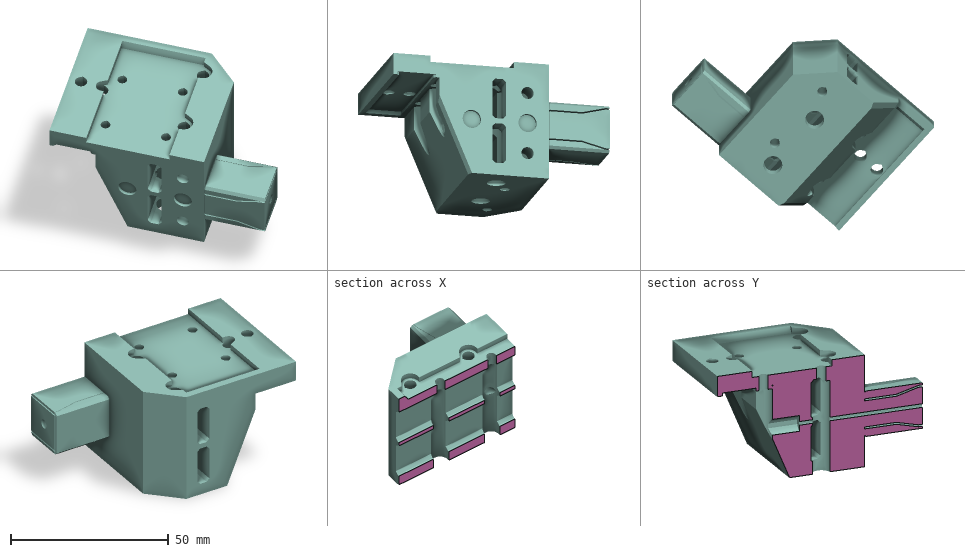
import cadquery as cq
import math

TOTAL_LENGTH = 71.0
DEPTH = 45.5
HEIGHT = 38.0
BLOCK_RIGHT = 51.05
BODY_LEFT = 15.1
SHELF_THICKNESS = 7.0
SHELF_BOTTOM = HEIGHT - SHELF_THICKNESS
SLOPE_TOP = 23.3
SLOPE_BOTTOM_X = 25.0
SLOPE_EDGE_CHAMFER = 1.85
SLOPE_BAR_STRETCH = 1.5
BACK_CORNER_CHAMFER = 10.0

POCKET_LEFT = 12.15
POCKET_RIGHT = 39.6
POCKET_DEPTH = 2.05
POCKET_FLOOR = HEIGHT - POCKET_DEPTH
POCKET_BACK = 43.1
POCKET_BACK_RUN = 1.3

RECESS_LEFT = 1.9
RECESS_RIGHT = 13.3
RECESS_HEIGHT = 1.0
RECESS_MOUTH_FLARE = 0.7

SCREW_RADIUS = 1.55
INSERT_RADIUS = 2.0
HEAD_RADIUS = 3.0
TEARDROP_ANGLE = math.radians(60)

PLATE_SCREW_X = (16.05, 36.0)
PLATE_SCREW_Y = (8.9, 28.9)
CLAMP_SCREW_X = 40.3
CLAMP_SCREW_Y = (14.7, 37.4)
CLAMP_INSERT_DEPTH = 5.7
SHELF_HOLE_X = (4.1, 11.1)

TUBE_SIZE = 15.55
TUBE_Y = TUBE_SIZE / 2
TUBE_Z = 17.95
TUBE_EDGE_CHAMFER = 0.85
TUBE_ROOT_CHAMFER = 0.35
AXIAL_HEAD_END_X = 28.4

SLIT_WIDTH = 0.5
SLIT_OFFSET = 4.75
SLIT_END_OFFSET = 6.7
SLIT_BEND_X = 62.0
SLIT_SPREAD_END_X = 69.6
SKIN_DEPTH = 0.15
SKIN_THICKNESS = 0.15

SLOT_LEFT = 32.45
SLOT_WIDTH = 4.5
SLOT_HEIGHT = 13.1
SLOT_PITCH = 14.85
SLOT_CORNER = 1.0
SIDE_HOLE_X = 44.0
SIDE_HOLE_PITCH = 20.0
SIDE_HOLE_DEPTH = 7.1
MAGNET_X = (25.7, SIDE_HOLE_X)
MAGNET_DEPTH = 1.0


def upright_cylinder(x, y, radius, bottom, top):
    return cq.Workplane("XY", origin=(x, y, bottom)).circle(radius).extrude(top - bottom)


def upright_teardrop(x, y, radius, bottom, top):
    """Round hole whose back side runs out in a blunt point towards +Y."""
    side_x = radius * math.cos(TEARDROP_ANGLE)
    side_y = radius * math.sin(TEARDROP_ANGLE)
    return (
        cq.Workplane("XY", origin=(x, y, bottom))
        .moveTo(side_x, side_y)
        .lineTo(0, radius / math.sin(TEARDROP_ANGLE))
        .lineTo(-side_x, side_y)
        .threePointArc((0, -radius), (side_x, side_y))
        .close()
        .extrude(top - bottom)
    )


def upright_flared_notch(x, y, radius, mouth_x, flare_sides, bottom, top):
    """Half-round notch that opens towards mouth_x.

    A side (+1 or -1 along Y) in flare_sides leans outwards from its tangent point; the other runs straight.
    """
    opening = math.copysign(1, mouth_x - x)
    mouth = mouth_x - x
    tangent_x = radius * math.cos(TEARDROP_ANGLE)
    tangent_y = radius * math.sin(TEARDROP_ANGLE)
    flare = (abs(mouth) + tangent_x) / math.tan(TEARDROP_ANGLE)

    def side_points(side):
        if side in flare_sides:
            return (-opening * tangent_x, side * tangent_y), (mouth, side * (tangent_y + flare))
        return (0, side * radius), (mouth, side * radius)

    back_tangent, back_mouth = side_points(1)
    front_tangent, front_mouth = side_points(-1)
    return (
        cq.Workplane("XY", origin=(x, y, bottom))
        .moveTo(*back_mouth)
        .lineTo(*back_tangent)
        .threePointArc((-opening * radius, 0), front_tangent)
        .lineTo(*front_mouth)
        .close()
        .extrude(top - bottom)
    )


def axial_bore(radius, length):
    """Bore along X on the tube axis, its +Y side a blunt point cut off flat at the radius."""
    tangent_y = radius * math.sin(TEARDROP_ANGLE)
    tangent_z = radius * math.cos(TEARDROP_ANGLE)
    flat_half = (radius - tangent_y) / math.cos(TEARDROP_ANGLE)
    return (
        cq.Workplane("YZ", origin=(0, TUBE_Y, TUBE_Z))
        .moveTo(tangent_y, tangent_z)
        .lineTo(radius, flat_half)
        .lineTo(radius, -flat_half)
        .lineTo(tangent_y, -tangent_z)
        .threePointArc((-radius, 0), (tangent_y, tangent_z))
        .close()
        .extrude(length)
    )


def make_block():
    profile = [
        (0, HEIGHT),
        (BLOCK_RIGHT, HEIGHT),
        (BLOCK_RIGHT, 0),
        (SLOPE_BOTTOM_X, 0),
        (BODY_LEFT, SLOPE_TOP),
        (BODY_LEFT, SHELF_BOTTOM),
        (0, SHELF_BOTTOM),
    ]
    block = cq.Workplane("XZ").polyline(profile).close().extrude(-DEPTH)
    return block.edges("|Z and >X and >Y").chamfer(BACK_CORNER_CHAMFER)


def make_slope_bevel(edge_y, inward):
    """Triangular bar along one side edge of the slope; inward is the Y direction into the block."""
    size = SLOPE_EDGE_CHAMFER
    slope_direction = cq.Vector(SLOPE_BOTTOM_X - BODY_LEFT, 0, -SLOPE_TOP)
    corner = cq.Vector(BODY_LEFT, edge_y, SLOPE_TOP)
    section = cq.Wire.makePolygon(
        [
            corner + cq.Vector(0, -inward * size, -size),
            corner + cq.Vector(0, 2 * inward * size, -size),
            corner + cq.Vector(0, -inward * size, 2 * size),
        ],
        close=True,
    )
    bar = cq.Solid.extrudeLinear(section, [], slope_direction * SLOPE_BAR_STRETCH)
    return cq.Workplane(obj=bar)


def make_pocket():
    profile = [
        (0, POCKET_FLOOR),
        (POCKET_BACK - POCKET_BACK_RUN, POCKET_FLOOR),
        (POCKET_BACK, HEIGHT),
        (0, HEIGHT),
    ]
    pocket = (
        cq.Workplane("YZ", origin=(POCKET_LEFT, 0, 0))
        .polyline(profile)
        .close()
        .extrude(POCKET_RIGHT - POCKET_LEFT)
    )
    return pocket


def make_shelf_recess():
    top = SHELF_BOTTOM + RECESS_HEIGHT
    profile = [
        (0, SHELF_BOTTOM),
        (POCKET_BACK, SHELF_BOTTOM),
        (POCKET_BACK - RECESS_HEIGHT, top),
        (0, top),
    ]
    channel = (
        cq.Workplane("YZ", origin=(RECESS_LEFT, 0, 0))
        .polyline(profile)
        .close()
        .extrude(RECESS_RIGHT - RECESS_LEFT)
    )
    mouth = (
        cq.Workplane("XY", origin=(0, 0, SHELF_BOTTOM))
        .polyline(
            [
                (RECESS_LEFT - RECESS_MOUTH_FLARE, 0),
                (RECESS_RIGHT + RECESS_MOUTH_FLARE, 0),
                (RECESS_RIGHT, RECESS_MOUTH_FLARE),
                (RECESS_LEFT, RECESS_MOUTH_FLARE),
            ]
        )
        .close()
        .extrude(RECESS_HEIGHT)
    )
    return channel.union(mouth)


def cut_plate_screws(block):
    """Screw holes in the pocket floor, with head clearance from below up to shelf height."""
    for x in PLATE_SCREW_X:
        for y in PLATE_SCREW_Y:
            block = block.cut(upright_teardrop(x, y, SCREW_RADIUS, 0, HEIGHT))
            if x == PLATE_SCREW_X[0]:
                head = upright_flared_notch(x, y, HEAD_RADIUS, BODY_LEFT, (1, -1), 0, SHELF_BOTTOM)
            else:
                head = upright_cylinder(x, y, HEAD_RADIUS, 0, SHELF_BOTTOM)
            block = block.cut(head)
    return block


def cut_clamp_screws(block):
    """Through holes on the pocket's right edge, with an insert bore and a head notch at pocket depth."""
    x = CLAMP_SCREW_X
    insert_bottom = POCKET_FLOOR - CLAMP_INSERT_DEPTH
    for y in CLAMP_SCREW_Y:
        block = block.cut(upright_teardrop(x, y, SCREW_RADIUS, 0, HEIGHT))
        block = block.cut(upright_teardrop(x, y, INSERT_RADIUS, insert_bottom, HEIGHT))
        notch = upright_flared_notch(x, y, HEAD_RADIUS, POCKET_RIGHT, (1,), POCKET_FLOOR, HEIGHT)
        block = block.cut(notch)
    return block


def cut_shelf_holes(block):
    """Two holes through the shelf; the one on the pocket's left edge also opens into the pocket."""
    y = DEPTH / 2
    for x in SHELF_HOLE_X:
        block = block.cut(upright_teardrop(x, y, INSERT_RADIUS, SHELF_BOTTOM, HEIGHT))
    edge_x = SHELF_HOLE_X[1]
    return block.cut(upright_flared_notch(edge_x, y, INSERT_RADIUS, POCKET_LEFT, (1,), POCKET_FLOOR, HEIGHT))


def cut_front_face(block):
    """Two slots through the block, shallow magnet seats and deeper side holes, all level with the tube."""
    for side in (-1, 1):
        slot = (
            cq.Workplane("XZ", origin=(SLOT_LEFT + SLOT_WIDTH / 2, 0, TUBE_Z + side * SLOT_PITCH / 2))
            .rect(SLOT_WIDTH, SLOT_HEIGHT)
            .extrude(-DEPTH)
            .edges("|Y")
            .chamfer(SLOT_CORNER)
        )
        block = block.cut(slot)
        hole_z = TUBE_Z + side * SIDE_HOLE_PITCH / 2
        hole = cq.Workplane("XZ", origin=(SIDE_HOLE_X, 0, hole_z)).circle(INSERT_RADIUS)
        block = block.cut(hole.extrude(-SIDE_HOLE_DEPTH))
    for x in MAGNET_X:
        seat = cq.Workplane("XZ", origin=(x, 0, TUBE_Z)).circle(HEAD_RADIUS).extrude(-MAGNET_DEPTH)
        block = block.cut(seat)
    return block


def slit_path(shift):
    """Points (x, distance from the tube axis) along a slit, shifted outwards from its centre line."""
    return [
        (BLOCK_RIGHT, SLIT_OFFSET + shift),
        (SLIT_BEND_X, SLIT_OFFSET + shift),
        (SLIT_SPREAD_END_X, SLIT_END_OFFSET + shift),
        (TOTAL_LENGTH, SLIT_END_OFFSET + shift),
    ]


def make_slits():
    """Upright back slit, and two level front slits that run back to its outer wall.

    A thin skin just below the top and bottom faces closes the back slit. The tube axis lies on the X axis.
    """
    half_size = TUBE_SIZE / 2
    outer_wall = slit_path(SLIT_WIDTH / 2)
    inner_wall = slit_path(-SLIT_WIDTH / 2)
    section = outer_wall + inner_wall[::-1]
    skin_outside = half_size - SKIN_DEPTH
    skin_inside = skin_outside - SKIN_THICKNESS
    back_levels = [(-half_size, -skin_outside), (-skin_inside, skin_inside), (skin_outside, half_size)]
    back_slits = [
        cq.Workplane("XY", origin=(0, 0, bottom)).polyline(section).close().extrude(top - bottom)
        for bottom, top in back_levels
    ]
    front_reach = (
        cq.Workplane("XY", origin=(0, 0, -half_size))
        .polyline([(BLOCK_RIGHT, -half_size)] + outer_wall + [(TOTAL_LENGTH, -half_size)])
        .close()
        .extrude(TUBE_SIZE)
    )
    upper_slit = (
        cq.Workplane("XZ", origin=(0, -half_size, 0))
        .polyline(section)
        .close()
        .extrude(-TUBE_SIZE)
        .intersect(front_reach)
    )
    return back_slits + [upper_slit, upper_slit.mirror("XY")]


def make_tube():
    tube = (
        cq.Workplane("YZ", origin=(BLOCK_RIGHT, 0, 0))
        .rect(TUBE_SIZE, TUBE_SIZE)
        .extrude(TOTAL_LENGTH - BLOCK_RIGHT)
        .edges("|X")
        .chamfer(TUBE_EDGE_CHAMFER)
        .faces("<X")
        .chamfer(TUBE_ROOT_CHAMFER)
    )
    for slit in make_slits():
        tube = tube.cut(slit)
    return tube.translate((0, TUBE_Y, TUBE_Z))


def make_axial_hole():
    """Screw hole through block and tube, with a wide head bore entering from the left."""
    return axial_bore(SCREW_RADIUS, TOTAL_LENGTH).union(axial_bore(HEAD_RADIUS, AXIAL_HEAD_END_X))


block = make_block()
for edge_y, inward in ((0, 1), (DEPTH, -1)):
    block = block.cut(make_slope_bevel(edge_y, inward))
block = block.cut(make_pocket()).cut(make_shelf_recess())
block = cut_plate_screws(block)
block = cut_clamp_screws(block)
block = cut_shelf_holes(block)
block = cut_front_face(block)
result = block.union(make_tube()).cut(make_axial_hole())